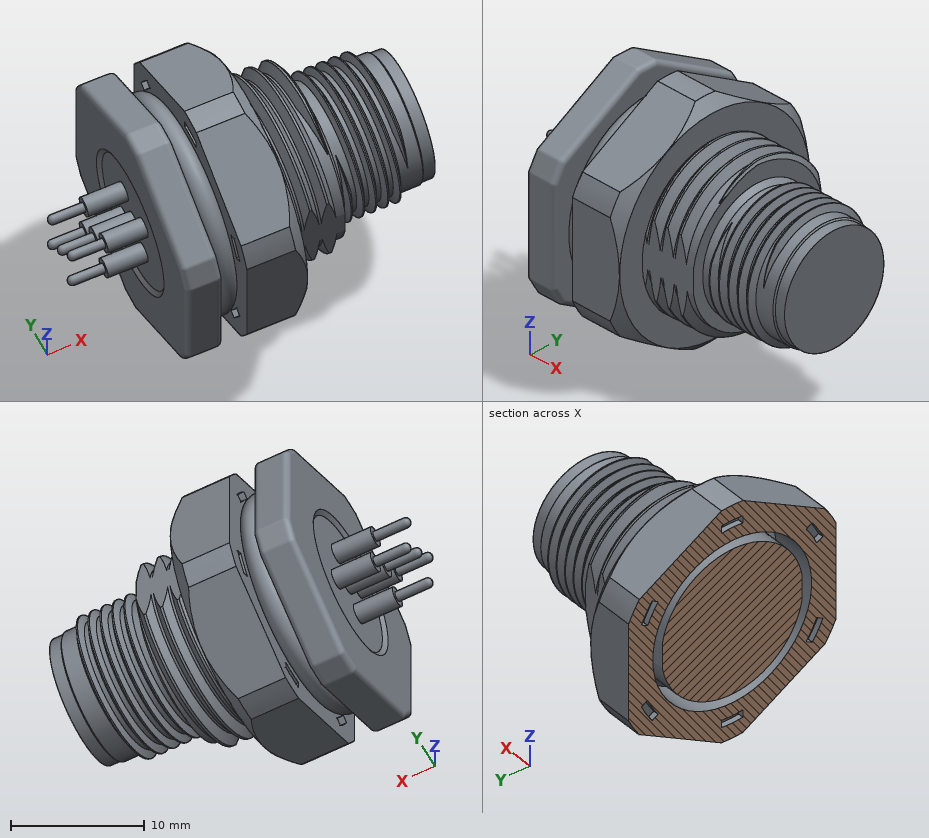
import cadquery as cq
import math


ACROSS_FLATS = 20.02
CORNER_RADIUS = 11.0

FLANGE_BACK = 6.0
FLANGE_FRONT = 9.0
NUT_BACK = 10.98
NUT_FRONT = 16.02
COLLAR_END = 20.63
CONE_END = 21.15
BARREL_END = 27.72
NOSE_START = 27.83
CONNECTOR_END = 28.8

FLANGE_FILLET = 0.5
COLLAR_ROOT_DIAMETER = 13.7
COLLAR_ACROSS_FLATS = 13.5
CONE_BASE_DIAMETER = 11.58
BARREL_DIAMETER = 10.75
NOSE_DIAMETER = 10.45
COUNTERSINK_DIAMETER = 11.95

COLLAR_PITCH = 1.4
COLLAR_CREST_DIAMETER = 15.25
COLLAR_RIDGE_BASE = 1.2
COLLAR_RIDGE_CREST = 0.2
COLLAR_RIDGE_END = 20.37
COLLAR_RIDGE_END_ANGLE = 0
COLLAR_THREAD_TURNS = 4
COLLAR_RUNOUT_ANGLE = 35

BARREL_PITCH = 1.0
BARREL_CREST_DIAMETER = 11.95
BARREL_RIDGE_BASE = 0.63
BARREL_RIDGE_CREST = 0.12
BARREL_RIDGE_END = 26.45
BARREL_RIDGE_END_ANGLE = 40
BARREL_RUNOUT_ANGLE = 35
BARREL_THREAD_TURNS = 5 - BARREL_RUNOUT_ANGLE / 360

RIDGE_OVERLAP = 0.1
RUNOUT_STEPS = 4
RUNOUT_TIP_SCALE = 0.05

INSERT_DIAMETER = 11.2
INSERT_RECESS = 0.3

PIN_DIAMETER = 0.8
PIN_TIP_FILLET = 0.37
SLEEVE_BACK = 2.97
SLEEVE_DIAMETER = 1.6
CENTRE_SLEEVE_DIAMETER = 1.7
PIN_OFFSET = 1.75

RING_OUTER_DIAMETER = 18.04

NUT_BORE_DIAMETER = 15.27
NUT_CHAMFER = 1.0
SLOT_INNER_RADIUS = 8.9
SLOT_OUTER_RADIUS = 9.55
SLOT_WIDTH = 2.02
SLOT_DEPTH = 1.0


def cylinder(diameter, start, end, y=0, z=0):
    """Cylinder parallel to X between two stations."""
    return cq.Workplane("YZ", origin=(start, y, z)).circle(diameter / 2).extrude(end - start)


def turned(points):
    """Solid of revolution about X from (station, radius) points."""
    return cq.Workplane("XY").polyline(points).close().revolve(360, (0, 0, 0), (1, 0, 0))


def hexagon(across_flats, start, end, turn=30):
    """Hexagonal prism along X, with a corner up unless turned otherwise."""
    across_corners = across_flats / math.cos(math.radians(30))
    return (
        cq.Workplane("YZ", origin=(start, 0, 0))
        .polygon(6, across_corners)
        .extrude(end - start)
        .rotate((0, 0, 0), (1, 0, 0), turn)
    )


def ridge_section(angle, axial, root, crest, base, top, scale):
    """Trapezoidal thread section about the Z axis, at an angle in degrees and a height."""
    flank_slope = (base - top) / 2 / (crest - root)
    foot = root - RIDGE_OVERLAP
    peak = root + (crest - root) * scale
    foot_half = base * scale / 2 + RIDGE_OVERLAP * flank_slope
    peak_half = top * scale / 2
    corners = [(foot, -foot_half), (peak, -peak_half), (peak, peak_half), (foot, foot_half)]
    turn = math.radians(angle)
    points = [cq.Vector(r * math.cos(turn), r * math.sin(turn), axial + z) for r, z in corners]
    return cq.Wire.makePolygon(points, close=True)


def thread_ridge(pitch, root, crest, base, top, turns, runout_angle, end, end_angle, fade_start):
    """Right-handed helical ridge along X, full up to `end` and then fading into its root cylinder."""

    def section(angle, scale):
        return ridge_section(angle, pitch * angle / 360, root, crest, base, top, scale)

    def runout(angle, direction):
        sections = []
        for step in range(RUNOUT_STEPS + 1):
            fraction = step / RUNOUT_STEPS
            scale = 1 - fraction * (1 - RUNOUT_TIP_SCALE)
            sections.append(section(angle + direction * fraction * runout_angle, scale))
        return cq.Solid.makeLoft(sections, True)

    helix = cq.Wire.makeHelix(pitch, pitch * turns, root)
    ridge = cq.Workplane(cq.Solid.sweep(section(0, 1), [], helix, True, True))
    ridge = ridge.union(cq.Workplane(runout(360 * turns, 1)))
    if fade_start:
        ridge = ridge.union(cq.Workplane(runout(0, -1)))

    return (
        ridge.rotate((0, 0, 0), (0, 0, 1), 180 + end_angle - 360 * turns)
        .rotate((0, 0, 0), (0, 1, 0), 90)
        .translate((end - pitch * turns, 0, 0))
    )


def make_flange():
    """Hexagonal flange with flat-cut corners and all edges rounded."""
    flange = hexagon(ACROSS_FLATS, FLANGE_BACK, FLANGE_FRONT)
    corner_cutter = hexagon(2 * CORNER_RADIUS, FLANGE_BACK, FLANGE_FRONT, turn=0)
    return flange.intersect(corner_cutter).edges().fillet(FLANGE_FILLET)


def make_collar():
    """Threaded collar with two flats facing +Y and -Y."""
    collar = cylinder(COLLAR_ROOT_DIAMETER, FLANGE_FRONT, COLLAR_END)
    ridge = thread_ridge(
        COLLAR_PITCH,
        COLLAR_ROOT_DIAMETER / 2,
        COLLAR_CREST_DIAMETER / 2,
        COLLAR_RIDGE_BASE,
        COLLAR_RIDGE_CREST,
        COLLAR_THREAD_TURNS,
        COLLAR_RUNOUT_ANGLE,
        COLLAR_RIDGE_END,
        COLLAR_RIDGE_END_ANGLE,
        fade_start=False,
    )
    length = COLLAR_END - FLANGE_FRONT
    envelope = cq.Workplane("XY", origin=(FLANGE_FRONT, 0, 0)).box(
        length, COLLAR_ACROSS_FLATS, ACROSS_FLATS, centered=(False, True, True)
    )
    return collar.intersect(envelope).union(ridge.intersect(envelope))


def make_barrel():
    """Plain barrel and nose with the mating thread."""
    barrel = turned(
        [
            (COLLAR_END, 0),
            (COLLAR_END, CONE_BASE_DIAMETER / 2),
            (CONE_END, BARREL_DIAMETER / 2),
            (BARREL_END, BARREL_DIAMETER / 2),
            (NOSE_START, NOSE_DIAMETER / 2),
            (CONNECTOR_END, NOSE_DIAMETER / 2),
            (CONNECTOR_END, 0),
        ]
    )
    ridge = thread_ridge(
        BARREL_PITCH,
        BARREL_DIAMETER / 2,
        BARREL_CREST_DIAMETER / 2,
        BARREL_RIDGE_BASE,
        BARREL_RIDGE_CREST,
        BARREL_THREAD_TURNS,
        BARREL_RUNOUT_ANGLE,
        BARREL_RIDGE_END,
        BARREL_RIDGE_END_ANGLE,
        fade_start=True,
    )
    return barrel.union(ridge)


def make_housing():
    """Flange, collar and barrel in one, with a countersunk seat for the insert in the flange."""
    countersink = turned(
        [
            (FLANGE_BACK, 0),
            (FLANGE_BACK, COUNTERSINK_DIAMETER / 2),
            (FLANGE_BACK + INSERT_RECESS, INSERT_DIAMETER / 2),
            (FLANGE_BACK + INSERT_RECESS, 0),
        ]
    )
    seat = cylinder(INSERT_DIAMETER, FLANGE_BACK, FLANGE_FRONT)
    housing = make_flange().union(make_collar()).union(make_barrel())
    return housing.cut(countersink).cut(seat)


def make_pin(y, z, sleeve_diameter):
    """Round-tipped solder pin with a thicker sleeve that runs through the insert."""
    tip = cylinder(PIN_DIAMETER, 0, SLEEVE_BACK, y, z).faces("<X").edges().fillet(PIN_TIP_FILLET)
    return tip.union(cylinder(sleeve_diameter, SLEEVE_BACK, FLANGE_FRONT, y, z))


def make_insert(pins):
    """Insulating disc that holds the pins."""
    insert = cylinder(INSERT_DIAMETER, FLANGE_BACK + INSERT_RECESS, FLANGE_FRONT)
    for pin in pins:
        insert = insert.cut(pin)
    return insert


def make_sealing_ring():
    """O-ring that fills the gap between the flange and the nut."""
    section_diameter = NUT_BACK - FLANGE_FRONT
    section_centre = (RING_OUTER_DIAMETER - section_diameter) / 2
    return (
        cq.Workplane("XY", origin=((FLANGE_FRONT + NUT_BACK) / 2, section_centre, 0))
        .circle(section_diameter / 2)
        .revolve(360, (0, -section_centre, 0), (1, -section_centre, 0))
    )


def make_nut():
    """Hexagonal nut, chamfered at the front, with a curved slot in the back face at each corner."""
    chamfered_blank = cylinder(2 * CORNER_RADIUS, NUT_BACK, NUT_FRONT).faces(">X").chamfer(NUT_CHAMFER)
    nut = hexagon(ACROSS_FLATS, NUT_BACK, NUT_FRONT).intersect(chamfered_blank)
    nut = nut.cut(cylinder(NUT_BORE_DIAMETER, NUT_BACK, NUT_FRONT))

    slot_end = NUT_BACK + SLOT_DEPTH
    groove = cylinder(2 * SLOT_OUTER_RADIUS, NUT_BACK, slot_end)
    groove = groove.cut(cylinder(2 * SLOT_INNER_RADIUS, NUT_BACK, slot_end))
    spoke = cq.Workplane("XY", origin=(NUT_BACK, 0, 0)).box(
        SLOT_DEPTH, SLOT_WIDTH, CORNER_RADIUS, centered=(False, True, False)
    )
    slot = groove.intersect(spoke)
    for corner in range(6):
        nut = nut.cut(slot.rotate((0, 0, 0), (1, 0, 0), 60 * corner))
    return nut


pins = [make_pin(0, 0, CENTRE_SLEEVE_DIAMETER)]
for side in (-1, 1):
    for level in (-1, 1):
        pins.append(make_pin(side * PIN_OFFSET, level * PIN_OFFSET, SLEEVE_DIAMETER))

housing = make_housing()
insert = make_insert(pins)
sealing_ring = make_sealing_ring()
nut = make_nut()

result = cq.Compound.makeCompound(
    [housing.val(), insert.val(), sealing_ring.val(), nut.val(), *[pin.val() for pin in pins]]
)